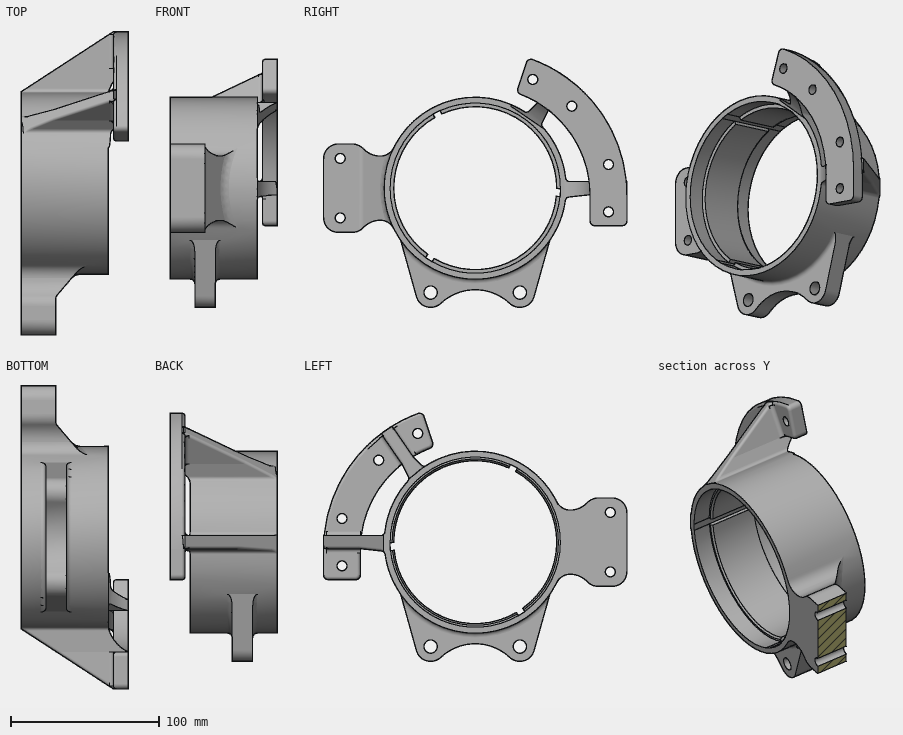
import cadquery as cq
import math

ring_length = 58.8
ring_radius = 61.5
seat_diameter = 115.0
seat_radius = seat_diameter / 2
seat_depth = 12.3
land_radius = 55.0
land_chamfer = 1.2
notch_count = 3
notch_angle = -3.0
notch_width = 5.1

plate_thickness = 10.0
plate_front = 62.3
plate_back = plate_front + plate_thickness
plate_width = 25.0
plate_outer_radius = 97.8
plate_inner_radius = plate_outer_radius - plate_width
plate_center_y = 4.7
plate_center_z = -4.7
plate_center = (plate_center_y, plate_center_z)
plate_end_angle = 71.6
plate_side_y = plate_center_y + plate_outer_radius
plate_bottom_z = -25.5
plate_corner_radius = 3.3
plate_edge_radius = 2.0
small_hole_diameter = 6.5
lower_hole_offset = 16.0
upper_hole_offset = 10.8

rib_thickness = 9.0
upper_rib_angle = 55.6
lower_rib_root_offsets = (-7.4, rib_thickness / 2)
upper_rib_root_offsets = (-7.4, 8.6)
rib_root_radius = 51.2
rib_start_reach = 62.0
rib_throat_x = 65.5
rib_throat_drop = 4.7
rib_throat_root = 60.5
rib_plate_fillet = 2.7
rib_ring_fillet = 2.7
rib_edge_fillet = 1.8

pad_thickness = 23.4
pad_end_y = -102.5
pad_half_height = 30.0
pad_corner_radius = 10.0
neck_half_height = 21.7
neck_flare_radius = 16.0
neck_ring_fillet = 10.0
pad_hole_y = -91.2
pad_hole_z = 20.0
slope_start_y = -76.7
slope_angle = 49.5
backing_half_width = 32.8
slope_ring_fillet = 7.4
slope_pad_fillet = 5.0

flange_front = 16.6
flange_thickness = 14.0
ear_radius = 10.0
ear_hole_diameter = 8.8
ear_hole_y = 30.1
ear_hole_z = -70.5
ear_side_angle = 15.6
ear_side_length = 41.0
saddle_top_z = -68.7
flange_fillet = 3.0


def plane_at(x):
    """Sketch plane facing +X whose local axes are the part's Y and Z."""
    return cq.Workplane("YZ", origin=(x, 0, 0))


def nearest(x, y, z):
    return cq.selectors.NearestToPointSelector((x, y, z))


def polar(radius, angle, center=(0, 0)):
    a = math.radians(angle)
    return (center[0] + radius * math.cos(a), center[1] + radius * math.sin(a))


ring = plane_at(0).circle(ring_radius).extrude(ring_length)


def make_bore():
    """Seat at each end and a narrower land between them, with notches across the land."""
    land_end = ring_length - seat_depth
    bore = (
        cq.Workplane("XY")
        .moveTo(0, 0)
        .lineTo(0, seat_radius)
        .lineTo(seat_depth, seat_radius)
        .lineTo(seat_depth, land_radius + land_chamfer)
        .lineTo(seat_depth + land_chamfer, land_radius)
        .lineTo(land_end, land_radius)
        .lineTo(land_end, seat_radius)
        .lineTo(ring_length, seat_radius)
        .lineTo(ring_length, 0)
        .close()
        .revolve(360, (0, 0, 0), (1, 0, 0))
    )
    notch = plane_at(0).center(seat_radius / 2, 0).rect(seat_radius, notch_width).extrude(ring_length)
    for i in range(notch_count):
        angle = notch_angle + i * 360 / notch_count
        bore = bore.union(notch.rotate((0, 0, 0), (1, 0, 0), angle))
    return bore


def make_plate():
    """Curved plate whose lower end runs straight down as a tab."""
    mid_angle = plate_end_angle / 2
    outer_end = polar(plate_outer_radius, plate_end_angle, plate_center)
    inner_end = polar(plate_inner_radius, plate_end_angle, plate_center)
    plate = (
        plane_at(plate_front)
        .moveTo(plate_side_y, plate_bottom_z)
        .lineTo(plate_side_y, plate_center_z)
        .threePointArc(polar(plate_outer_radius, mid_angle, plate_center), outer_end)
        .lineTo(*inner_end)
        .threePointArc(
            polar(plate_inner_radius, mid_angle, plate_center),
            (plate_side_y - plate_width, plate_center_z),
        )
        .lineTo(plate_side_y - plate_width, plate_bottom_z)
        .close()
        .extrude(plate_thickness)
    )
    middle_x = plate_front + plate_thickness / 2
    tab_corners = [(plate_side_y, plate_bottom_z), (plate_side_y - plate_width, plate_bottom_z)]
    for y, z in [outer_end, inner_end] + tab_corners:
        plate = plate.edges("|X").edges(nearest(middle_x, y, z)).fillet(plate_corner_radius)
    rib_end = polar(plate_outer_radius, upper_rib_angle, plate_center)
    inner_band = (
        plane_at(plate_front)
        .center(*plate_center)
        .circle(plate_inner_radius + plate_edge_radius)
        .extrude(plate_thickness)
    )
    sharp_sector = (
        plane_at(plate_front)
        .polyline([(0, 0), (plate_side_y, 0), rib_end, plate_center])
        .close()
        .extrude(plate_thickness)
        .intersect(inner_band)
        .intersect(plate)
    )
    return plate.faces("<X").edges().fillet(plate_edge_radius).union(sharp_sector)


def make_rib(angle, center, outer_reach, root_offsets):
    """Triangular rib from the ring to the plate, in the direction of angle from a centre.

    It is built along +Y, then turned. Between the plate and the ring its two faces spread
    to the root offsets, given as Z below and above the middle plane.
    """
    inner_reach = outer_reach - plate_width
    half = rib_thickness / 2
    root_below, root_above = root_offsets
    local_ring = (
        plane_at(0)
        .center(-center[0], -center[1])
        .circle(ring_radius)
        .extrude(plate_back)
        .rotate((0, 0, 0), (1, 0, 0), -angle)
    )
    footprint = (
        plane_at(0)
        .moveTo(rib_root_radius, root_below)
        .lineTo(inner_reach, -half)
        .lineTo(outer_reach, -half)
        .lineTo(outer_reach, half)
        .lineTo(inner_reach, half)
        .lineTo(rib_root_radius, root_above)
        .close()
        .extrude(plate_back)
        .union(local_ring)
    )
    for side in (-1, 1):
        root = nearest(plate_back / 2, ring_radius, side * half)
        footprint = footprint.edges("|X").edges(root).fillet(rib_ring_fillet)
    profile = (
        cq.Workplane("XY")
        .moveTo(0, rib_root_radius)
        .lineTo(0, rib_start_reach)
        .lineTo(plate_front, outer_reach)
        .lineTo(plate_back, outer_reach - plate_edge_radius)
        .lineTo(plate_back, inner_reach)
        .threePointArc((rib_throat_x, inner_reach - rib_throat_drop), (ring_length, rib_throat_root))
        .lineTo(ring_length, rib_root_radius)
        .close()
        .extrude(2 * rib_thickness, both=True)
    )
    rib = profile.intersect(footprint)
    slope = (outer_reach - rib_start_reach) / plate_front
    slanted_edges = []
    for reach in ((outer_reach + inner_reach) / 2, (inner_reach + ring_radius) / 2):
        for side in (-1, 1):
            middle = ((reach - rib_start_reach) / slope, reach, side * half)
            edge = rib.edges(nearest(*middle)).val()
            if not any(edge.isSame(other) for other in slanted_edges):
                slanted_edges.append(edge)
    rib = rib.newObject(slanted_edges).fillet(rib_edge_fillet)
    foot = (
        cq.Workplane("XZ", origin=(0, inner_reach, 0))
        .moveTo(plate_front + plate_edge_radius, -half - rib_plate_fillet)
        .lineTo(plate_front, -half - rib_plate_fillet)
        .radiusArc((plate_front - rib_plate_fillet, -half), -rib_plate_fillet)
        .lineTo(plate_front - rib_plate_fillet, half)
        .radiusArc((plate_front, half + rib_plate_fillet), -rib_plate_fillet)
        .lineTo(plate_front + plate_edge_radius, half + rib_plate_fillet)
        .close()
        .extrude(-plate_width + plate_edge_radius)
    )
    rib = rib.union(foot)
    return rib.rotate((0, 0, 0), (1, 0, 0), angle).translate((0, center[0], center[1]))


def make_pad():
    """Pad with a waisted neck; the neck continues along X under a sloped face."""
    shoulder_z = pad_half_height - pad_corner_radius
    waist_z = neck_half_height + neck_flare_radius
    fillet_z = neck_half_height + neck_ring_fillet
    waist_y = -math.sqrt((ring_radius + neck_ring_fillet) ** 2 - fillet_z**2)
    flare_turn = math.acos((waist_z - shoulder_z) / (neck_flare_radius + pad_corner_radius))
    flare_y = waist_y - neck_flare_radius * math.sin(flare_turn)
    flare_z = waist_z - neck_flare_radius * math.cos(flare_turn)
    shoulder_y = flare_y - pad_corner_radius * math.sin(flare_turn)
    touch = ring_radius / (ring_radius + neck_ring_fillet)
    touch_angle = math.degrees(math.atan2(-fillet_z, -waist_y))
    half = flare_turn / 2
    shoulder_mid = (
        shoulder_y + pad_corner_radius * math.sin(half),
        shoulder_z + pad_corner_radius * math.cos(half),
    )
    flare_mid = (waist_y - neck_flare_radius * math.sin(half), waist_z - neck_flare_radius * math.cos(half))
    ring_mid = polar(neck_ring_fillet, (touch_angle - 90) / 2, (waist_y, fillet_z))

    pad = (
        plane_at(0)
        .moveTo(pad_end_y, 0)
        .lineTo(pad_end_y, pad_half_height)
        .lineTo(shoulder_y, pad_half_height)
        .threePointArc(shoulder_mid, (flare_y, flare_z))
        .threePointArc(flare_mid, (waist_y, neck_half_height))
        .threePointArc(ring_mid, (waist_y * touch, fillet_z * touch))
        .lineTo(-land_radius, 0)
        .mirrorX()
        .extrude(ring_length)
    )
    pad = pad.edges("|X and <Y").fillet(pad_corner_radius)
    slope_foot_x = pad_thickness - (ring_radius + slope_start_y) / math.tan(math.radians(slope_angle))
    slope_rise = (ring_length - pad_thickness) * math.tan(math.radians(slope_angle))
    backing = (
        cq.Workplane("XY")
        .moveTo(0, 0)
        .lineTo(0, pad_end_y)
        .lineTo(pad_thickness, pad_end_y)
        .lineTo(pad_thickness, slope_start_y)
        .lineTo(ring_length, slope_start_y + slope_rise)
        .lineTo(ring_length, 0)
        .close()
        .extrude(backing_half_width, both=True)
        .union(ring)
        .edges(nearest(slope_foot_x, -ring_radius, 0))
        .fillet(slope_ring_fillet)
    )
    back_corner = nearest(pad_thickness, slope_start_y, 0)
    backing = backing.edges(back_corner).fillet(slope_pad_fillet)
    return pad.intersect(backing)


def make_flange():
    """Flange below the ring with an ear on each side and a round saddle between them."""
    drop = saddle_top_z - ear_hole_z
    saddle_radius = (ear_hole_y**2 + drop**2 - ear_radius**2) / (2 * (ear_radius + drop))
    saddle_z = saddle_top_z - saddle_radius
    saddle_share = saddle_radius / (saddle_radius + ear_radius)
    meet_y = ear_hole_y * saddle_share
    meet_z = saddle_z + (ear_hole_z - saddle_z) * saddle_share
    side_y, side_z = polar(ear_radius, -ear_side_angle, (ear_hole_y, ear_hole_z))
    top_y, top_z = polar(ear_side_length, 90 - ear_side_angle, (side_y, side_z))
    ear_bottom = ear_hole_z - ear_radius
    return (
        plane_at(flange_front)
        .moveTo(top_y, top_z)
        .lineTo(side_y, side_z)
        .threePointArc((ear_hole_y, ear_bottom), (meet_y, meet_z))
        .threePointArc((0, saddle_top_z), (-meet_y, meet_z))
        .threePointArc((-ear_hole_y, ear_bottom), (-side_y, side_z))
        .lineTo(-top_y, top_z)
        .close()
        .extrude(flange_thickness)
    )


def make_holes(points, diameter):
    return plane_at(0).pushPoints(points).circle(diameter / 2).extrude(plate_back)


lower_rib = make_rib(0, (0, 0), plate_side_y, lower_rib_root_offsets)
upper_rib = make_rib(upper_rib_angle, plate_center, plate_outer_radius, upper_rib_root_offsets)

body = ring.union(make_flange())
for face_x in (flange_front, flange_front + flange_thickness):
    root = nearest(face_x, 0, -ring_radius)
    body = body.edges("%CIRCLE").edges(root).fillet(flange_fillet)
body = body.union(make_pad()).union(make_plate()).union(lower_rib).union(upper_rib)

tab_hole_y = plate_side_y - plate_width / 2
hole_circle = (plate_outer_radius + plate_inner_radius) / 2
small_holes = []
for side in (-1, 1):
    upper_hole_angle = upper_rib_angle + side * upper_hole_offset
    small_holes.append((tab_hole_y, side * lower_hole_offset))
    small_holes.append(polar(hole_circle, upper_hole_angle, plate_center))
    small_holes.append((pad_hole_y, side * pad_hole_z))
ear_holes = [(side * ear_hole_y, ear_hole_z) for side in (-1, 1)]

result = (
    body.cut(make_bore())
    .cut(make_holes(small_holes, small_hole_diameter))
    .cut(make_holes(ear_holes, ear_hole_diameter))
)